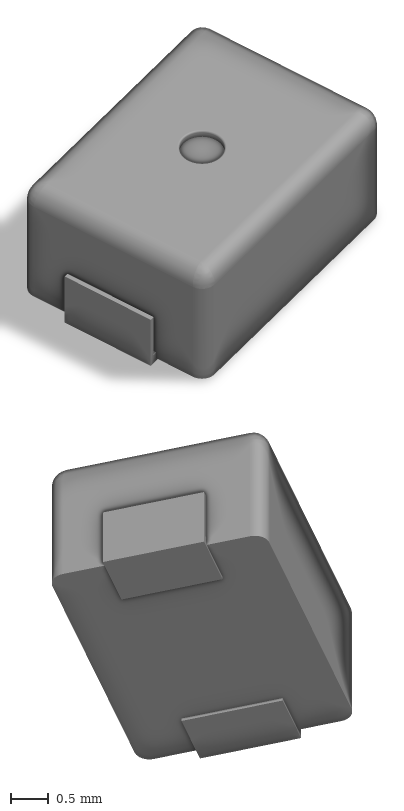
import cadquery as cq

body_width = 3.0
body_length = 4.0
overall_height = 1.95
standoff = 0.042
side_radius = 0.205
top_radius = 0.25

recess_diameter = 0.6
recess_depth = 0.1
recess_lip_radius = 0.025

overall_length = 4.25
terminal_width = 1.4
terminal_height = 0.85
terminal_foot_length = 0.81
terminal_plate_thickness = 0.065
terminal_shelf_height = 0.15


def make_body():
    """Block with rounded vertical edges and a rounded top rim."""
    return (
        cq.Workplane("XY", origin=(0, 0, standoff))
        .rect(body_width, body_length)
        .extrude(overall_height - standoff)
        .edges("|Z")
        .fillet(side_radius)
        .faces(">Z")
        .edges()
        .fillet(top_radius)
    )


def cut_recess(body):
    """Sink the shallow round pocket and round over its lip."""
    recessed = body.faces(">Z").workplane(origin=(0, 0, overall_height)).hole(recess_diameter, recess_depth)
    return recessed.faces(">Z").edges("%CIRCLE").fillet(recess_lip_radius)


def make_terminal(end):
    """Terminal at the +Y end (end = 1) or the -Y end (end = -1)."""
    outer_y = end * overall_length / 2
    plate_inner_y = outer_y - end * terminal_plate_thickness
    body_end_y = end * body_length / 2
    foot_tip_y = outer_y - end * terminal_foot_length
    profile = [
        (outer_y, 0),
        (outer_y, terminal_height),
        (plate_inner_y, terminal_height),
        (plate_inner_y, terminal_shelf_height),
        (body_end_y, terminal_shelf_height),
        (body_end_y, standoff),
        (foot_tip_y, standoff),
        (foot_tip_y, 0),
    ]
    return cq.Workplane("YZ").polyline(profile).close().extrude(terminal_width / 2, both=True)


result = cut_recess(make_body())
for end in (-1, 1):
    result = result.union(make_terminal(end))